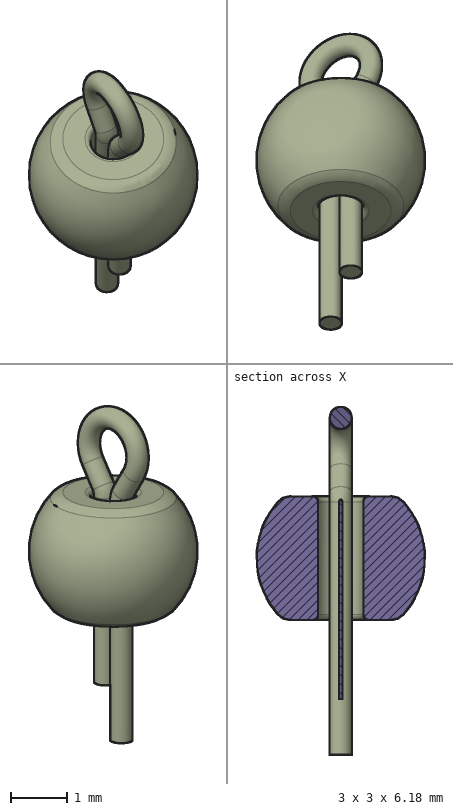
import cadquery as cq
import math

BEAD_RADIUS = 1.5
BEAD_HEIGHT = 2.2
BEAD_EDGE_RADIUS = 0.3
HOLE_RADIUS = 0.4
HOLE_RIM_RADIUS = 0.1

WIRE_RADIUS = HOLE_RADIUS / 2
WIRE_TOP = 2.69
LONG_LEG_END = -3.49
SHORT_LEG_END = -2.5
LOOP_RADIUS = 0.6

LEG_X = WIRE_RADIUS
LOOP_CENTRE_Z = WIRE_TOP - WIRE_RADIUS - LOOP_RADIUS

BEND_RADIUS = HOLE_RIM_RADIUS + WIRE_RADIUS
BEND_CENTRE_X = HOLE_RADIUS + HOLE_RIM_RADIUS
BEND_CENTRE_Z = BEAD_HEIGHT / 2 - HOLE_RIM_RADIUS


def make_bead():
    """Truncated sphere with rounded outer edges and a hole with rounded rims."""
    ball = cq.Workplane("XY").sphere(BEAD_RADIUS)
    flats = cq.Workplane("XY").box(2 * BEAD_RADIUS, 2 * BEAD_RADIUS, BEAD_HEIGHT)
    solid_bead = ball.intersect(flats).faces("<Z or >Z").edges().fillet(BEAD_EDGE_RADIUS)
    hole = cq.Workplane("XY").circle(HOLE_RADIUS).extrude(BEAD_HEIGHT, both=True)
    rims = cq.selectors.RadiusNthSelector(0)
    return solid_bead.cut(hole).faces("<Z or >Z").edges(rims).fillet(HOLE_RIM_RADIUS)


def make_wire():
    """Round wire swept from the long leg's end, over the loop, to the short leg's end."""
    rise = LOOP_CENTRE_Z - BEND_CENTRE_Z
    centre_distance = math.hypot(BEND_CENTRE_X, rise)
    centre_line_lean = math.atan2(BEND_CENTRE_X, rise)
    lean = math.asin((LOOP_RADIUS + BEND_RADIUS) / centre_distance) - centre_line_lean

    loop_end_x = LOOP_RADIUS * math.cos(lean)
    loop_end_z = LOOP_CENTRE_Z - LOOP_RADIUS * math.sin(lean)
    bend_top_x = BEND_CENTRE_X - BEND_RADIUS * math.cos(lean)
    bend_top_z = BEND_CENTRE_Z + BEND_RADIUS * math.sin(lean)
    bend_middle_x = BEND_CENTRE_X - BEND_RADIUS * math.cos(lean / 2)
    bend_middle_z = BEND_CENTRE_Z + BEND_RADIUS * math.sin(lean / 2)
    path = (
        cq.Workplane("XZ")
        .moveTo(-LEG_X, LONG_LEG_END)
        .lineTo(-LEG_X, BEND_CENTRE_Z)
        .threePointArc((-bend_middle_x, bend_middle_z), (-bend_top_x, bend_top_z))
        .lineTo(-loop_end_x, loop_end_z)
        .threePointArc((0, LOOP_CENTRE_Z + LOOP_RADIUS), (loop_end_x, loop_end_z))
        .lineTo(bend_top_x, bend_top_z)
        .threePointArc((bend_middle_x, bend_middle_z), (LEG_X, BEND_CENTRE_Z))
        .lineTo(LEG_X, SHORT_LEG_END)
    )
    section = cq.Workplane("XY", origin=(-LEG_X, 0, LONG_LEG_END)).circle(WIRE_RADIUS)
    return section.sweep(path)


bead = make_bead()
wire = make_wire()

result = cq.Compound.makeCompound([bead.solids().val(), wire.solids().val()])